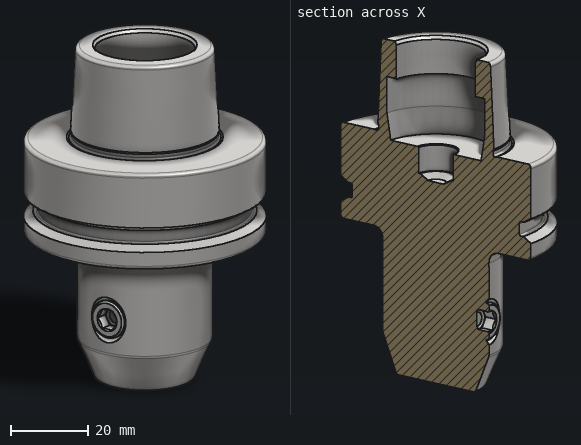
import cadquery as cq
import math

DRILL_TIP_SLOPE = math.tan(math.radians(30))

TOTAL_HEIGHT = 90.0
FLANGE_RADIUS = 31.5
EDGE_ROUND = 1.1

NOSE_RADIUS = 17.6
NOSE_TIP_RADIUS = 13.05
NOSE_CONE_START = 10.7
NOSE_CONE_BLEND = 1.6
NOSE_FILLET = 3.0

FLANGE_BOTTOM = 38.9
FLANGE_TOP = 65.0
GROOVE_CENTRE = 47.0
GROOVE_ROOT_RADIUS = 27.7
GROOVE_MOUTH_HALF_WIDTH = 3.3
GROOVE_ROOT_HALF_WIDTH = 1.9
GROOVE_FLANK_RUN = (GROOVE_MOUTH_HALF_WIDTH - GROOVE_ROOT_HALF_WIDTH) / math.tan(math.radians(30))
GROOVE_ROOT_FILLET = 0.45

TAPER_FOOT_RADIUS = 19.3
TAPER_TOP_RADIUS = 18.1
TAPER_FOOT = 66.9
RELIEF_RADIUS = 19.0
RELIEF_TOP = 66.3
RELIEF_FILLET = 0.7
RELIEF_BOTTOM = 64.8
RELIEF_OUTER_RADIUS = 20.25

BORE_RADIUS = 13.0
BORE_CHAMFER_WIDTH = 0.5
BORE_CHAMFER_DEPTH = BORE_CHAMFER_WIDTH * math.tan(math.radians(60))
CHAMBER_RADIUS = 16.1
CHAMBER_TOP = 79.8
CHAMBER_CONE_TOP = 70.2
CHAMBER_CONE_ANGLE = 10.0
CHAMBER_FLOOR = 63.0

HOLE_RADIUS = 5.7
HOLE_CHAMFER = 0.3
HOLE_DEPTH = 7.2
HOLE_CONE_TOP_RADIUS = 5.0
HOLE_CONE_BOTTOM_RADIUS = 2.6
HOLE_CONE_DEPTH = (HOLE_CONE_TOP_RADIUS - HOLE_CONE_BOTTOM_RADIUS) * DRILL_TIP_SLOPE

SCREW_HEIGHT = 19.9
SCREW_RADIUS = 5.0
SCREW_SEAT_RADIUS = 6.1
SCREW_SINK = SCREW_SEAT_RADIUS - SCREW_RADIUS
SCREW_BEVEL = 0.5
SCREW_LENGTH = 9.0
HEX_ACROSS_FLATS = 5.2
HEX_ACROSS_CORNERS = HEX_ACROSS_FLATS / math.cos(math.radians(30))
HEX_DEPTH = 3.6
HEX_MOUTH_RADIUS = 3.1
HEX_FLOOR_RADIUS = 1.9


def revolve_about_z(points):
    """Solid of revolution about Z from (radius, height) points."""
    return cq.Workplane("YZ").polyline(points).close().revolve(360, (0, 0), (0, 1))


def outer_body():
    """Turned body with sharp corners, from nose tip to shank top."""
    relief_arc_end = RELIEF_RADIUS + RELIEF_FILLET
    groove_flank_foot = FLANGE_RADIUS - GROOVE_FLANK_RUN
    arc_mid_offset = RELIEF_FILLET * (1 - math.cos(math.radians(45)))
    return (
        cq.Workplane("YZ")
        .lineTo(NOSE_TIP_RADIUS, 0)
        .lineTo(NOSE_RADIUS, NOSE_CONE_START)
        .lineTo(NOSE_RADIUS, FLANGE_BOTTOM)
        .lineTo(FLANGE_RADIUS, FLANGE_BOTTOM)
        .lineTo(FLANGE_RADIUS, GROOVE_CENTRE - GROOVE_MOUTH_HALF_WIDTH)
        .lineTo(groove_flank_foot, GROOVE_CENTRE - GROOVE_ROOT_HALF_WIDTH)
        .lineTo(GROOVE_ROOT_RADIUS, GROOVE_CENTRE - GROOVE_ROOT_HALF_WIDTH)
        .lineTo(GROOVE_ROOT_RADIUS, GROOVE_CENTRE + GROOVE_ROOT_HALF_WIDTH)
        .lineTo(groove_flank_foot, GROOVE_CENTRE + GROOVE_ROOT_HALF_WIDTH)
        .lineTo(FLANGE_RADIUS, GROOVE_CENTRE + GROOVE_MOUTH_HALF_WIDTH)
        .lineTo(FLANGE_RADIUS, FLANGE_TOP)
        .lineTo(RELIEF_OUTER_RADIUS, FLANGE_TOP)
        .lineTo(relief_arc_end, RELIEF_BOTTOM)
        .threePointArc(
            (RELIEF_RADIUS + arc_mid_offset, RELIEF_BOTTOM + arc_mid_offset),
            (RELIEF_RADIUS, RELIEF_BOTTOM + RELIEF_FILLET),
        )
        .lineTo(RELIEF_RADIUS, RELIEF_TOP)
        .lineTo(TAPER_FOOT_RADIUS, TAPER_FOOT)
        .lineTo(TAPER_TOP_RADIUS, TOTAL_HEIGHT)
        .lineTo(0, TOTAL_HEIGHT)
        .close()
        .revolve(360, (0, 0), (0, 1))
    )


def circle_edge(radius, height):
    """Selector for the full circular edge of a given radius at a given height."""
    margin = 0.01

    def square_box(half_side):
        low = (-half_side, -half_side, height - margin)
        high = (half_side, half_side, height + margin)
        return cq.selectors.BoxSelector(low, high, boundingbox=True)

    return square_box(radius + margin) - square_box(radius - margin)


def round_edges(body):
    """Fillet the turned corners, listed as radius, height and fillet size."""
    rounds = [
        (NOSE_TIP_RADIUS, 0, EDGE_ROUND),
        (NOSE_RADIUS, NOSE_CONE_START, NOSE_CONE_BLEND),
        (NOSE_RADIUS, FLANGE_BOTTOM, NOSE_FILLET),
        (FLANGE_RADIUS, FLANGE_BOTTOM, EDGE_ROUND),
        (GROOVE_ROOT_RADIUS, GROOVE_CENTRE - GROOVE_ROOT_HALF_WIDTH, GROOVE_ROOT_FILLET),
        (GROOVE_ROOT_RADIUS, GROOVE_CENTRE + GROOVE_ROOT_HALF_WIDTH, GROOVE_ROOT_FILLET),
        (FLANGE_RADIUS, FLANGE_TOP, EDGE_ROUND),
        (TAPER_TOP_RADIUS, TOTAL_HEIGHT, EDGE_ROUND),
    ]
    for radius, height, size in rounds:
        body = body.edges(circle_edge(radius, height)).fillet(size)
    return body


def shank_bore():
    """Cutter for the chamfered bore, the wider chamber and the blind hole in its floor."""
    cone_height = CHAMBER_CONE_TOP - CHAMBER_FLOOR
    floor_radius = CHAMBER_RADIUS - cone_height * math.tan(math.radians(CHAMBER_CONE_ANGLE))
    hole_floor = CHAMBER_FLOOR - HOLE_DEPTH
    cone_floor = hole_floor - HOLE_CONE_DEPTH
    return revolve_about_z([
        (0, TOTAL_HEIGHT),
        (BORE_RADIUS + BORE_CHAMFER_WIDTH, TOTAL_HEIGHT),
        (BORE_RADIUS, TOTAL_HEIGHT - BORE_CHAMFER_DEPTH),
        (BORE_RADIUS, CHAMBER_TOP),
        (CHAMBER_RADIUS, CHAMBER_TOP),
        (CHAMBER_RADIUS, CHAMBER_CONE_TOP),
        (floor_radius, CHAMBER_FLOOR),
        (HOLE_RADIUS + HOLE_CHAMFER, CHAMBER_FLOOR),
        (HOLE_RADIUS, CHAMBER_FLOOR - HOLE_CHAMFER),
        (HOLE_RADIUS, hole_floor),
        (HOLE_CONE_TOP_RADIUS, hole_floor),
        (HOLE_CONE_BOTTOM_RADIUS, cone_floor),
        (0, cone_floor),
    ])


def place_on_nose(feature):
    """Turn a feature modelled along Z, with the nose surface at height 0, to face -Y."""
    return feature.rotate((0, 0, 0), (1, 0, 0), 90).translate((0, -NOSE_RADIUS, SCREW_HEIGHT))


def screw_hole():
    """Cutter for the countersunk hole that holds the set screw."""
    overshoot = 0.9
    return place_on_nose(revolve_about_z([
        (0, overshoot),
        (SCREW_SEAT_RADIUS + overshoot, overshoot),
        (SCREW_RADIUS, -SCREW_SINK),
        (SCREW_RADIUS, -SCREW_LENGTH),
        (0, -SCREW_LENGTH),
    ]))


def set_screw():
    """Bevelled screw, flush with the nose surface, with a chamfered hex socket."""
    body = revolve_about_z([
        (0, 0),
        (SCREW_RADIUS - SCREW_BEVEL, 0),
        (SCREW_RADIUS, -SCREW_BEVEL),
        (SCREW_RADIUS, -SCREW_LENGTH),
        (0, -SCREW_LENGTH),
    ])
    mouth = revolve_about_z([(0, 0), (HEX_MOUTH_RADIUS, 0), (0, -HEX_MOUTH_RADIUS)])
    socket = cq.Workplane("XY").polygon(6, HEX_ACROSS_CORNERS).extrude(-HEX_DEPTH)
    tip_radius = HEX_ACROSS_FLATS / 2
    tip_floor = -HEX_DEPTH - (tip_radius - HEX_FLOOR_RADIUS) * DRILL_TIP_SLOPE
    tip = revolve_about_z([
        (0, -HEX_DEPTH),
        (tip_radius, -HEX_DEPTH),
        (HEX_FLOOR_RADIUS, tip_floor),
        (0, tip_floor),
    ])
    return place_on_nose(body.cut(mouth).cut(socket).cut(tip))


holder = round_edges(outer_body()).cut(shank_bore()).cut(screw_hole())
result = holder.union(set_screw())